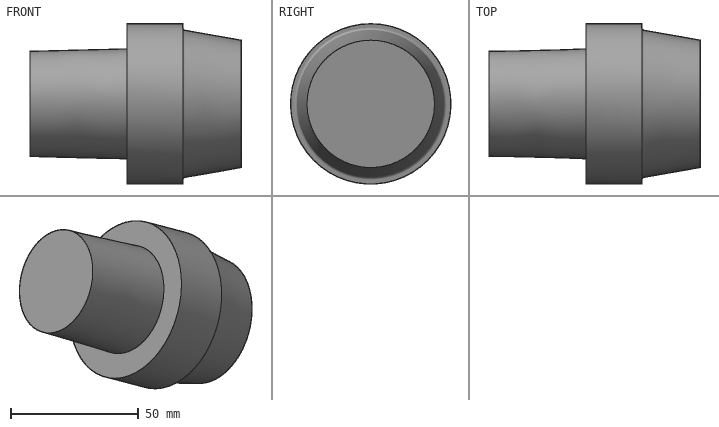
import cadquery as cq
import math

overall_length = 83.0
shank_length = 38.0
shank_end_diameter = 41.35
shank_taper = 1 / 20
collar_length = 22.0
collar_diameter = 63.0
nose_end_diameter = 50.0
nose_half_angle = math.radians(10.0)
nose_fillet_radius = 1.0

collar_start = shank_length
collar_end = collar_start + collar_length
shank_root_diameter = shank_end_diameter + shank_taper * shank_length

fillet_end_x = collar_end + nose_fillet_radius * (1 - math.sin(nose_half_angle))
fillet_end_radius = nose_end_diameter / 2 + (overall_length - fillet_end_x) * math.tan(nose_half_angle)
fillet_start_radius = fillet_end_radius + nose_fillet_radius * math.cos(nose_half_angle)


def half_profile():
    """Closed outline between the X axis and the outer surface."""
    return (
        cq.Workplane("XZ")
        .moveTo(0, 0)
        .lineTo(0, shank_end_diameter / 2)
        .lineTo(collar_start, shank_root_diameter / 2)
        .lineTo(collar_start, collar_diameter / 2)
        .lineTo(collar_end, collar_diameter / 2)
        .lineTo(collar_end, fillet_start_radius)
        .tangentArcPoint((fillet_end_x, fillet_end_radius), relative=False)
        .lineTo(overall_length, nose_end_diameter / 2)
        .lineTo(overall_length, 0)
        .close()
    )


result = half_profile().revolve(360, (0, 0, 0), (1, 0, 0))